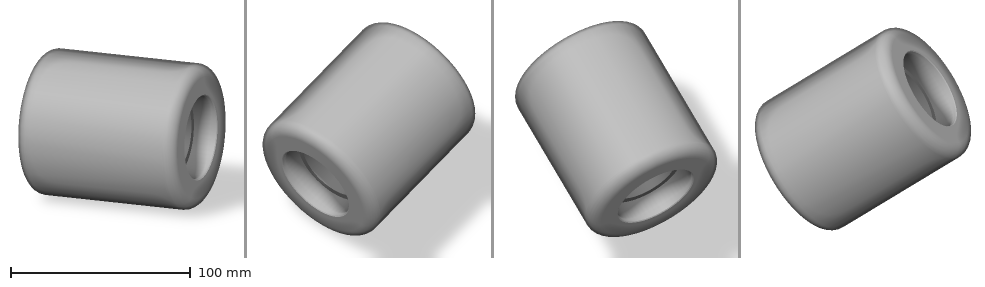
import cadquery as cq

length = 95.0
outer_diameter = 82.0
edge_radius = 6.5

bore_diameter = 40.0
seat_diameter = 47.0
seat_depth = 14.0
seat_chamfer = 0.5


def roller_body():
    """Solid cylinder with rounded rims."""
    cylinder = cq.Workplane("YZ").circle(outer_diameter / 2).extrude(length / 2, both=True)
    return cylinder.edges("%CIRCLE").fillet(edge_radius)


def cut_bore_and_seat(body, end_face):
    """Cut the bore and a bearing seat with a chamfered mouth from one end."""
    bored = (
        body.faces(end_face)
        .workplane(centerOption="CenterOfBoundBox")
        .cboreHole(bore_diameter, seat_diameter, seat_depth)
    )
    mouth = cq.selectors.RadiusNthSelector(0)
    return bored.faces(end_face).edges(mouth).chamfer(seat_chamfer)


result = roller_body()
for end_face in ("<X", ">X"):
    result = cut_bore_and_seat(result, end_face)